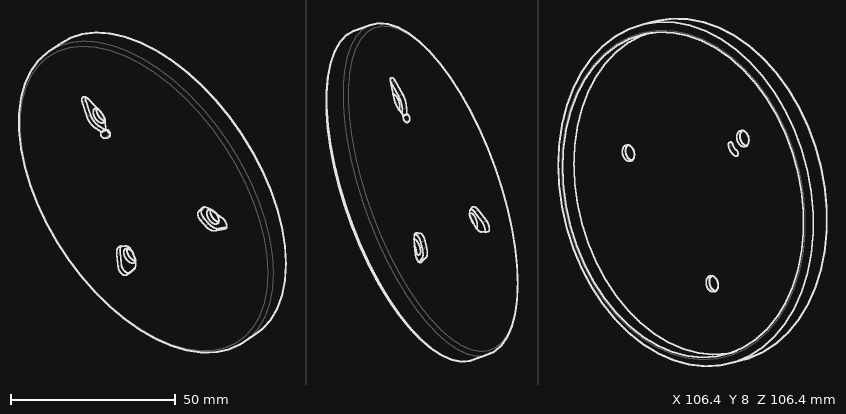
import cadquery as cq
import math

DIAMETER = 106.4
THICKNESS = 8.0
FRONT_FILLET = 1.2
BACK_ROUND_RADIUS = 3.0
BACK_ROUND_DEPTH = 1.2

POCKET_DEPTH = 1.5
WEB_THICKNESS = 1.5
HOLE_DIAMETER = 5.0
HOLE_CIRCLE_RADIUS = 28.5
FIRST_HOLE_ANGLE = 15.0
HOLE_COUNT = 3
POCKET_RADIUS = 4.0
TIP_RADIUS = 2.0
INNER_TIP_OFFSET = 3.0
OUTER_TIP_OFFSET = 5.4

SLOT_ANGLE = 135.0
SLOT_WIDTH = 2.0
SLOT_HALF_SPAN = 28.0

WALL = POCKET_DEPTH + WEB_THICKNESS
FRONT_Y = -THICKNESS / 2
BACK_Y = THICKNESS / 2


def front_plane(angle):
    """Plane on the front face, local x pointing outward at the angle, normal into the disc."""
    radians = math.radians(angle)
    outward = (math.cos(radians), 0, math.sin(radians))
    return cq.Workplane(cq.Plane(origin=(0, FRONT_Y, 0), xDir=outward, normal=(0, 1, 0)))


def arc_point(centre, radius, angle):
    """Point on a circle at an angle in degrees."""
    radians = math.radians(angle)
    return (centre[0] + radius * math.cos(radians), centre[1] + radius * math.sin(radians))


def make_cover():
    """Revolve half of the cover's section about the Y axis."""
    outer_radius = DIAMETER / 2
    inner_radius = outer_radius - WALL
    fillet_centre = (outer_radius - FRONT_FILLET, FRONT_Y + FRONT_FILLET)
    fillet_middle = arc_point(fillet_centre, FRONT_FILLET, -45)

    start_angle = math.degrees(math.asin(1 - BACK_ROUND_DEPTH / BACK_ROUND_RADIUS))
    round_inset = BACK_ROUND_RADIUS * math.cos(math.radians(start_angle))
    round_centre = (outer_radius - round_inset, BACK_Y - BACK_ROUND_RADIUS)
    round_middle = arc_point(round_centre, BACK_ROUND_RADIUS, (start_angle + 90) / 2)

    return (
        cq.Workplane("XY")
        .moveTo(0, FRONT_Y)
        .lineTo(fillet_centre[0], FRONT_Y)
        .threePointArc(fillet_middle, (outer_radius, fillet_centre[1]))
        .lineTo(outer_radius, BACK_Y - BACK_ROUND_DEPTH)
        .threePointArc(round_middle, (round_centre[0], BACK_Y))
        .lineTo(inner_radius, BACK_Y)
        .lineTo(inner_radius, FRONT_Y + WALL)
        .lineTo(0, FRONT_Y + WALL)
        .close()
        .revolve(360, (0, 0), (0, 1))
    )


def tapered_tip(angle, tip_x):
    """Hull of the pocket body and a smaller round tip lying tip_x from the hole centre."""
    side = math.copysign(1, tip_x)
    lean = (POCKET_RADIUS - TIP_RADIUS) / abs(tip_x)
    rise = math.sqrt(1 - lean**2)
    body_point = (side * POCKET_RADIUS * lean, POCKET_RADIUS * rise)
    tip_point = (tip_x + side * TIP_RADIUS * lean, TIP_RADIUS * rise)
    return (
        front_plane(angle)
        .center(HOLE_CIRCLE_RADIUS, 0)
        .moveTo(*body_point)
        .lineTo(*tip_point)
        .threePointArc((tip_x + side * TIP_RADIUS, 0), (tip_point[0], -tip_point[1]))
        .lineTo(body_point[0], -body_point[1])
        .threePointArc((-side * POCKET_RADIUS, 0), body_point)
        .close()
        .extrude(POCKET_DEPTH)
    )


def make_pocket(angle):
    """Teardrop with a long tip towards the rim, a short one inward and a through hole."""
    hole = (
        front_plane(angle)
        .center(HOLE_CIRCLE_RADIUS, 0)
        .circle(HOLE_DIAMETER / 2)
        .extrude(WALL)
    )
    outer = tapered_tip(angle, OUTER_TIP_OFFSET)
    inner = tapered_tip(angle, -INNER_TIP_OFFSET)
    return outer.union(inner).union(hole)


def make_slot():
    """Round-ended arc slot centred on the inner tip, starting at the tip wall."""
    centre = (HOLE_CIRCLE_RADIUS - INNER_TIP_OFFSET, 0)
    outer_radius = TIP_RADIUS + SLOT_WIDTH
    middle_radius = TIP_RADIUS + SLOT_WIDTH / 2
    first_end = 180 - SLOT_HALF_SPAN
    last_end = 180 + SLOT_HALF_SPAN
    crown = math.degrees(math.atan(SLOT_WIDTH / 2 / middle_radius))
    crown_radius = math.hypot(middle_radius, SLOT_WIDTH / 2)
    return (
        front_plane(SLOT_ANGLE)
        .moveTo(*arc_point(centre, outer_radius, first_end))
        .threePointArc(
            arc_point(centre, outer_radius, 180),
            arc_point(centre, outer_radius, last_end),
        )
        .threePointArc(
            arc_point(centre, crown_radius, last_end + crown),
            arc_point(centre, TIP_RADIUS, last_end),
        )
        .threePointArc(
            arc_point(centre, TIP_RADIUS, 180),
            arc_point(centre, TIP_RADIUS, first_end),
        )
        .threePointArc(
            arc_point(centre, crown_radius, first_end - crown),
            arc_point(centre, outer_radius, first_end),
        )
        .close()
        .extrude(WALL)
    )


result = make_cover()
for index in range(HOLE_COUNT):
    result = result.cut(make_pocket(FIRST_HOLE_ANGLE + index * 360 / HOLE_COUNT))
result = result.cut(make_slot())